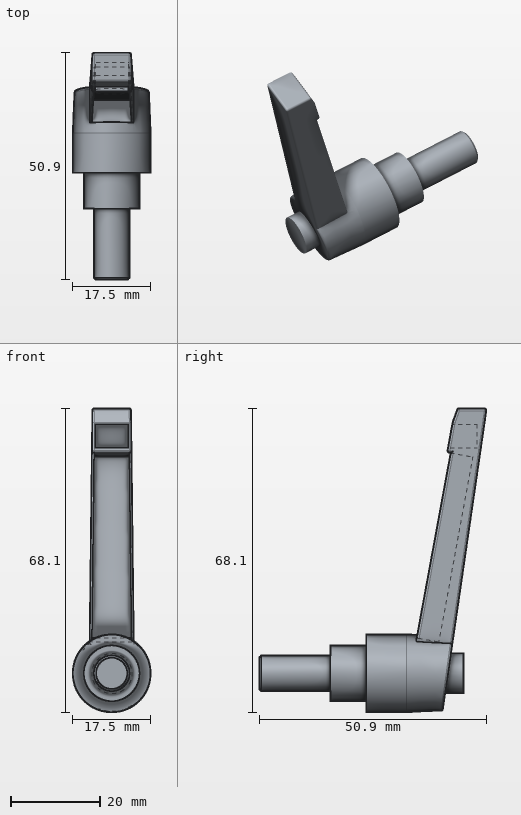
import cadquery as cq
import math

STUD_RADIUS = 4.0
STUD_LENGTH = 16.0
STUD_CHAMFER = 0.5
COLLAR_RADIUS = 6.25
COLLAR_LENGTH = 8.0
HUB_RADIUS = 8.75
HUB_STRAIGHT_LENGTH = 9.0
HUB_TAPER_ANGLE = 2.4
BUTTON_RADIUS = 4.5
BUTTON_BACK_Y = 21.85

ARM_TOP_Z = 59.38
ARM_TOP_BACK_Y = 27.01
BACK_LEAN_ANGLE = 8.29
FRONT_LEAN_ANGLE = 10.4
FRONT_FOOT_Y = 9.85
ARM_FOOT_HALF_WIDTH = 5.05
ARM_TOP_HALF_WIDTH = 4.35
EDGE_RADIUS = 0.5

LIP_Z = 49.4
LIP_HEIGHT = 0.8
KNEE_Z = 56.25
HEAD_TOP_FRONT_Y = 20.5

WALL = 0.52
CHANNEL_DEPTH = 5.0
CHANNEL_START = 8.1

POCKET_WIDTH = 7.4
POCKET_BOTTOM_Z = 50.5
POCKET_TOP_Z = 55.8
POCKET_BACK_Y = 24.8

BACK_SLOPE = math.tan(math.radians(BACK_LEAN_ANGLE))
FRONT_SLOPE = math.tan(math.radians(FRONT_LEAN_ANGLE))
FRONT_SINE = math.sin(math.radians(FRONT_LEAN_ANGLE))
FRONT_COSINE = math.cos(math.radians(FRONT_LEAN_ANGLE))

LIP_DISTANCE = LIP_Z / FRONT_COSINE

FULL_WIDTH = 4 * HUB_RADIUS


def back_y(z):
    """Y of the leaning back face at height z."""
    return ARM_TOP_BACK_Y - (ARM_TOP_Z - z) * BACK_SLOPE


def front_y(z):
    """Y of the arm's leaning front face at height z."""
    return FRONT_FOOT_Y + z * FRONT_SLOPE


def front_frame_point(along, depth):
    """(y, z) of a point measured along the arm's front face and into it."""
    y = FRONT_FOOT_Y + along * FRONT_SINE + depth * FRONT_COSINE
    z = along * FRONT_COSINE - depth * FRONT_SINE
    return (y, z)


def extrude_across(points, width):
    """Prism of a (y, z) outline, centred on x = 0."""
    return cq.Workplane("YZ").polyline(points).close().extrude(width / 2, both=True)


def cylinder_along_y(radius, start_y, end_y):
    plane = cq.Plane(origin=(0, start_y, 0), xDir=(1, 0, 0), normal=(0, 1, 0))
    return cq.Workplane(plane).circle(radius).extrude(end_y - start_y)


def tapered_blank(inset):
    """Trapezoidal block that narrows like the arm, inset from its side faces."""
    foot = ARM_FOOT_HALF_WIDTH - inset
    top = ARM_TOP_HALF_WIDTH - inset
    outline = [(-foot, 0), (foot, 0), (top, ARM_TOP_Z), (-top, ARM_TOP_Z)]
    return cq.Workplane("XZ").polyline(outline).close().extrude(-2 * ARM_TOP_BACK_Y)


def make_hub():
    """Straight front barrel and tapered rear, cut off by the leaning back plane."""
    cone_length = BUTTON_BACK_Y - HUB_STRAIGHT_LENGTH
    cone_end_radius = HUB_RADIUS - cone_length * math.tan(math.radians(HUB_TAPER_ANGLE))
    half_outline = [
        (0, 0),
        (HUB_RADIUS, 0),
        (HUB_RADIUS, HUB_STRAIGHT_LENGTH),
        (cone_end_radius, BUTTON_BACK_Y),
        (0, BUTTON_BACK_Y),
    ]
    hub = cq.Workplane("XY").polyline(half_outline).close().revolve(360, (0, 0), (0, 1))
    low_z = -2 * HUB_RADIUS
    high_z = 2 * HUB_RADIUS
    keep = extrude_across(
        [(0, low_z), (back_y(low_z), low_z), (back_y(high_z), high_z), (0, high_z)],
        FULL_WIDTH,
    )
    return hub.intersect(keep).faces(">Y").edges().fillet(EDGE_RADIUS)


def make_arm():
    """Leaning, tapered arm with its head, outer edges rounded."""
    lip_bottom_y, lip_bottom_z = front_frame_point(LIP_DISTANCE, -LIP_HEIGHT)
    outline = [
        (front_y(0), 0),
        (front_y(LIP_Z), LIP_Z),
        (lip_bottom_y, lip_bottom_z),
        (front_y(KNEE_Z) - LIP_HEIGHT / FRONT_COSINE, KNEE_Z),
        (HEAD_TOP_FRONT_Y, ARM_TOP_Z),
        (ARM_TOP_BACK_Y, ARM_TOP_Z),
        (back_y(0), 0),
    ]
    arm = extrude_across(outline, FULL_WIDTH).intersect(tapered_blank(0))
    long_edges = arm.faces("<X or >X").edges().edges("not(<Z)")
    top_edges = arm.faces(">Z").edges()
    lip_edge = arm.edges(cq.NearestToPointSelector((0, lip_bottom_y, lip_bottom_z)))
    rounded_edges = long_edges.vals() + top_edges.vals() + lip_edge.vals()
    return arm.newObject(rounded_edges).fillet(EDGE_RADIUS)


def make_channel():
    """Open-fronted channel whose floor and ends are square to the arm's front face."""
    outline = [
        front_frame_point(CHANNEL_START, 0),
        front_frame_point(CHANNEL_START, CHANNEL_DEPTH),
        front_frame_point(LIP_DISTANCE, CHANNEL_DEPTH),
        front_frame_point(LIP_DISTANCE, 0),
    ]
    return extrude_across(outline, FULL_WIDTH).intersect(tapered_blank(WALL))


def make_pocket():
    """Rectangular pocket running straight back into the head."""
    outline = [
        (front_y(0), POCKET_BOTTOM_Z),
        (POCKET_BACK_Y, POCKET_BOTTOM_Z),
        (POCKET_BACK_Y, POCKET_TOP_Z),
        (front_y(0), POCKET_TOP_Z),
    ]
    return extrude_across(outline, POCKET_WIDTH)


collar = cylinder_along_y(COLLAR_RADIUS, -COLLAR_LENGTH, 0)
stud = cylinder_along_y(STUD_RADIUS, -COLLAR_LENGTH - STUD_LENGTH, 0)
stud = stud.faces("<Y").chamfer(STUD_CHAMFER)
button = cylinder_along_y(BUTTON_RADIUS, 0, BUTTON_BACK_Y)

handle = make_hub().union(make_arm()).cut(make_channel()).cut(make_pocket())
result = handle.union(collar).union(stud).union(button)